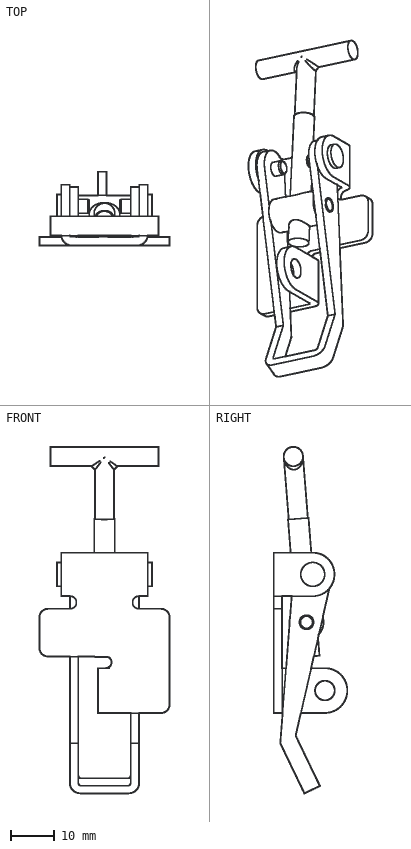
import cadquery as cq
import math


sheet = 2.0
bend_outer = 2.55
bend_inner = bend_outer - sheet
corner_radius = 2.0

plate_half_width = 15.0
wing_top = -7.9
wing_bottom = -18.9
plate_bottom = -31.95
flange_outer = 10.0
flange_radius = 5.0
notch_end = 6.5
notch_radius = (-flange_radius - wing_top) / 2
lug_outer = -1.5
lug_radius = 5.2
lug_top = plate_bottom + 2 * lug_radius
lug_bend_end = lug_outer + bend_outer
lug_notch_end = 1.6
lug_notch_radius = (wing_bottom - lug_top) / 2
lug_hole_y = 11.8
lug_hole_diameter = 4.5

rivet_y = 9.0
rivet_diameter = 3.3
rivet_head_diameter = 5.5
rivet_head_height = 0.95
rivet_tip = 3.5
rivet_tip_chamfer_length = 0.4
rivet_tip_chamfer_depth = 0.2

lever_outer = flange_outer - sheet
lever_inner = lever_outer - sheet
lever_eye_radius = 4.5
knee_back = (5.1, -37.1)
knee_front = (1.5, -38.9)
leg_angle = 25.7
leg_tip_z = -50.5

bar_y = 4.55
bar_z = 27.15
bar_diameter = 4.5
bar_length = 24.9
shank_length = 14.4
thread_diameter = 4.8
bolt_length = 46.25
weld_leg = 0.8

trunnion_y = 7.6
trunnion_z = -11.0
trunnion_diameter = 7.9
pin_diameter = 3.3
pin_chamfer = 0.2
countersink_diameter = 7.0

bolt_tilt = math.degrees(math.atan2(trunnion_y - bar_y, bar_z - trunnion_z))


def x_cylinder(diameter, x_start, x_end, y, z):
    """Cylinder parallel to X between two X positions."""
    return (
        cq.Workplane("YZ", origin=(x_start, y, z))
        .circle(diameter / 2)
        .extrude(x_end - x_start)
    )


def round_ended_profile(radius, y, z):
    """Side profile from the mounting face to a round end, as wide as the bracket."""
    return (
        cq.Workplane("YZ", origin=(0, 0, z))
        .moveTo(0, -radius)
        .lineTo(y, -radius)
        .threePointArc((y + radius, 0), (y, radius))
        .lineTo(0, radius)
        .close()
        .extrude(plate_half_width, both=True)
    )


def u_section(plane, half_width, height, length):
    """U-bent strip with its web on the local X axis, extruded both ways along the local normal."""
    outer = (
        cq.Workplane(plane)
        .rect(2 * half_width, 2 * height)
        .extrude(length, both=True)
    )
    normal_edges = cq.selectors.ParallelDirSelector(plane.zDir)
    outer = outer.edges(normal_edges).fillet(bend_outer)
    inner = (
        cq.Workplane(plane)
        .rect(2 * (half_width - sheet), 2 * (height - sheet))
        .extrude(length, both=True)
        .edges(normal_edges)
        .fillet(bend_inner)
    )
    return outer.cut(inner)


def make_plate():
    """Flat of the bracket below the flanges, with round-ended bend notches."""
    neck = notch_end + notch_radius
    lug_notch_start = lug_notch_end - lug_notch_radius
    notch_z = (wing_top - flange_radius) / 2
    lug_notch_z = (wing_bottom + lug_top) / 2
    plate = (
        cq.Workplane("XZ")
        .moveTo(-neck, -flange_radius)
        .threePointArc((-notch_end, notch_z), (-neck, wing_top))
        .lineTo(-plate_half_width, wing_top)
        .lineTo(-plate_half_width, wing_bottom)
        .lineTo(lug_notch_start, wing_bottom)
        .threePointArc((lug_notch_end, lug_notch_z), (lug_notch_start, lug_top))
        .lineTo(lug_bend_end, lug_top)
        .lineTo(lug_bend_end, plate_bottom)
        .lineTo(plate_half_width, plate_bottom)
        .lineTo(plate_half_width, wing_top)
        .lineTo(neck, wing_top)
        .threePointArc((notch_end, notch_z), (neck, -flange_radius))
        .close()
        .extrude(-sheet)
    )
    return plate.faces("<X or >X").edges("|Y").fillet(corner_radius)


def make_bracket():
    depth = 2 * rivet_y
    flange_plane = cq.Plane(origin=(0, depth, 0), xDir=(1, 0, 0), normal=(0, 0, 1))
    flanges = u_section(flange_plane, flange_outer, depth, flange_radius)
    flanges = flanges.intersect(round_ended_profile(flange_radius, rivet_y, 0))

    lug_z = plate_bottom + lug_radius
    lug = (
        cq.Workplane("XY", origin=(0, 0, plate_bottom))
        .moveTo(lug_bend_end, 0)
        .radiusArc((lug_outer, bend_outer), bend_outer)
        .lineTo(lug_outer, lug_hole_y + lug_radius)
        .lineTo(lug_outer + sheet, lug_hole_y + lug_radius)
        .lineTo(lug_outer + sheet, bend_outer)
        .radiusArc((lug_bend_end, sheet), -bend_inner)
        .close()
        .extrude(2 * lug_radius)
        .intersect(round_ended_profile(lug_radius, lug_hole_y, lug_z))
    )
    lug_hole = x_cylinder(lug_hole_diameter, lug_outer, lug_outer + sheet, lug_hole_y, lug_z)

    bracket = make_plate().union(flanges).union(lug).cut(lug_hole)
    rivet_hole = x_cylinder(rivet_diameter, -flange_outer, flange_outer, rivet_y, 0)
    return bracket.cut(rivet_hole)


def tangent_point(corner, side):
    """Point where a line from the corner touches the lever eye; side is +1 for back, -1 for front."""
    dy = corner[0] - rivet_y
    dz = corner[1]
    angle = math.atan2(dz, dy) + side * math.acos(lever_eye_radius / math.hypot(dy, dz))
    return (rivet_y + lever_eye_radius * math.cos(angle), lever_eye_radius * math.sin(angle))


def make_lever():
    leg_y = math.sin(math.radians(leg_angle))
    leg_z = -math.cos(math.radians(leg_angle))
    front_length = (leg_tip_z - knee_front[1]) / leg_z
    tip_front = (knee_front[0] + front_length * leg_y, leg_tip_z)
    back_length = (tip_front[0] - knee_back[0]) * leg_y + (tip_front[1] - knee_back[1]) * leg_z
    tip_back = (knee_back[0] + back_length * leg_y, knee_back[1] + back_length * leg_z)

    profile = (
        cq.Workplane("YZ")
        .moveTo(*tangent_point(knee_front, -1))
        .threePointArc((rivet_y, lever_eye_radius), tangent_point(knee_back, 1))
        .lineTo(*knee_back)
        .lineTo(*tip_back)
        .lineTo(*tip_front)
        .lineTo(*knee_front)
        .close()
        .extrude(lever_outer, both=True)
    )
    reach = 2 * abs(leg_tip_z)
    bend_plane = cq.Plane(
        origin=(0, tip_front[0] - reach * leg_y, tip_front[1] - reach * leg_z),
        xDir=(1, 0, 0),
        normal=(0, leg_z, -leg_y),
    )
    lever = profile.intersect(u_section(bend_plane, lever_outer, reach, reach))
    rivet_hole = x_cylinder(rivet_diameter, -lever_outer, lever_outer, rivet_y, 0)
    pin_hole = x_cylinder(pin_diameter, -lever_outer, lever_outer, trunnion_y, trunnion_z)
    return lever.cut(rivet_hole).cut(pin_hole)


def make_rivet(side):
    """Rivet with its head outside one flange; side is -1 or +1."""
    radius = rivet_diameter / 2
    head_radius = rivet_head_diameter / 2
    half_section = [
        (rivet_tip, 0),
        (rivet_tip, radius - rivet_tip_chamfer_depth),
        (rivet_tip + rivet_tip_chamfer_length, radius),
        (flange_outer, radius),
        (flange_outer, head_radius),
        (flange_outer + rivet_head_height, head_radius),
        (flange_outer + rivet_head_height, 0),
    ]
    return (
        cq.Workplane("XY", origin=(0, rivet_y, 0))
        .polyline([(side * x, r) for x, r in half_section])
        .close()
        .revolve(360, (0, 0), (1, 0))
    )


def place_on_bolt_axis(body):
    """Move a body built about a vertical bolt axis under the T bar to its tilted place."""
    return body.rotate((0, 0, 0), (1, 0, 0), bolt_tilt).translate((0, bar_y, bar_z))


def make_t_bolt():
    bar_radius = bar_diameter / 2
    bar = x_cylinder(bar_diameter, -bar_length / 2, bar_length / 2, 0, 0)
    shank = cq.Workplane("XY").circle(bar_radius).extrude(-shank_length)
    thread = (
        cq.Workplane("XY", origin=(0, 0, -shank_length))
        .circle(thread_diameter / 2)
        .extrude(shank_length - bolt_length)
    )
    bolt = bar.union(shank).union(thread)
    weld_reach = (bar_diameter + weld_leg) / math.sqrt(2)
    for side in (-1, 1):
        weld_plane = cq.Plane(origin=(0, 0, 0), xDir=(side, 0, -1), normal=(side, 0, 1))
        weld = (
            cq.Workplane(weld_plane)
            .moveTo(0, -bar_radius)
            .ellipseArc(weld_reach, bar_radius, -90, 90, startAtCurrent=True)
            .close()
            .extrude(bar_diameter, both=True)
        )
        corner = (
            cq.Workplane("XY")
            .center(side * bar_diameter / 2, 0)
            .rect(bar_diameter, bar_diameter)
            .extrude(-bar_diameter)
        )
        bolt = bolt.union(weld.intersect(corner))
    return place_on_bolt_axis(bolt)


def make_trunnion():
    barrel = x_cylinder(trunnion_diameter, -lever_inner, lever_inner, trunnion_y, trunnion_z)
    pins = x_cylinder(pin_diameter, -lever_outer, lever_outer, trunnion_y, trunnion_z)
    trunnion = barrel.union(pins).faces("<X or >X").chamfer(pin_chamfer)

    bore_radius = thread_diameter / 2
    sink_radius = countersink_diameter / 2
    barrel_radius = trunnion_diameter / 2
    centre_depth = math.hypot(trunnion_y - bar_y, bar_z - trunnion_z)
    sink_top = barrel_radius - centre_depth
    bore_section = [
        (0, -bolt_length),
        (bore_radius, -bolt_length),
        (bore_radius, sink_top - sink_radius + bore_radius),
        (sink_radius, sink_top),
        (0, sink_top),
    ]
    bore = (
        cq.Workplane("XZ")
        .polyline(bore_section)
        .close()
        .revolve(360, (0, 0), (0, 1))
    )
    return trunnion.cut(place_on_bolt_axis(bore))


bracket = make_bracket()
lever = make_lever()
rivets = [make_rivet(side) for side in (-1, 1)]
t_bolt = make_t_bolt()
trunnion = make_trunnion()

result = cq.Compound.makeCompound(
    [bracket.val(), lever.val(), *[rivet.val() for rivet in rivets], t_bolt.val(), trunnion.val()]
)